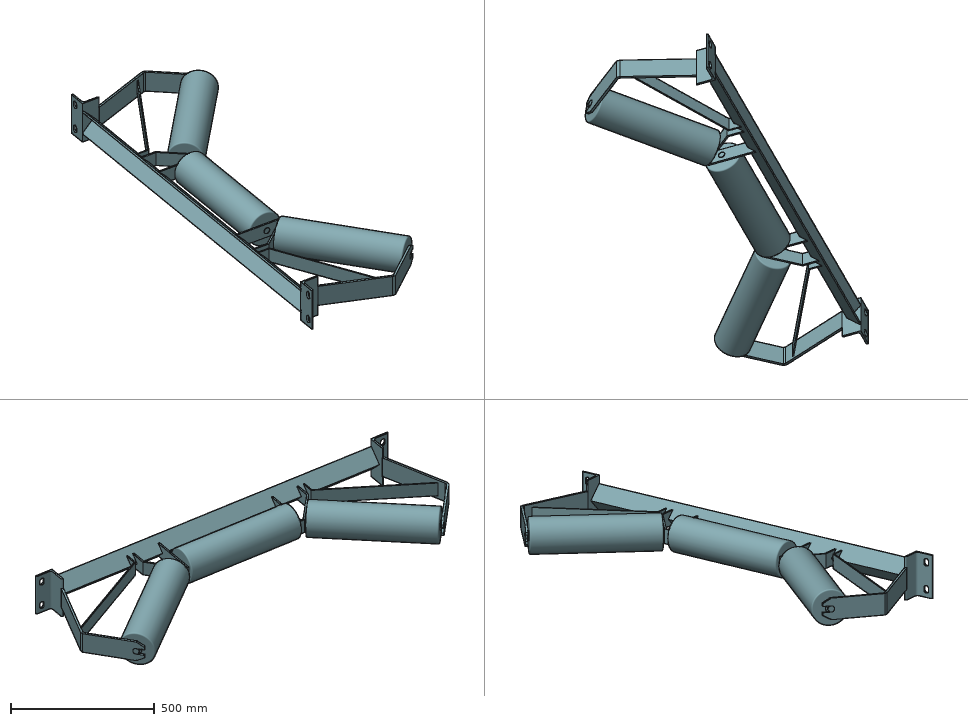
import cadquery as cq
import math


roller_radius = 66.5
roller_length = 466.0
rim_radius = 5.0
trough_angle = 40.0
middle_roller_y = 151.0
side_roller_end_x = -645.0
overall_height = 519.0

shaft_diameter = 23.0
hub_diameter = 36.0
support_gap = 5.0
shaft_tip = 2.0

angle_leg = 70.0
angle_thickness = 7.0
angle_root_radius = 9.0
angle_toe_radius = 4.5

beam_half_length = 678.0

foot_width = 160.0
slot_width = 19.0
slot_length = 28.0
slot_spacing = 100.0
slot_x = -725.0

arm_thickness = 8.5
arm_width = 80.0
arm_outer_x = -780.0
arm_tip_rise = 30.4
arm_tip_chamfer_length = 30.0
arm_tip_chamfer_width = 17.0
knee_height = 11.0
bracket_thickness = 6.0
bracket_width = 55.0
bracket_leg_x = -350.0
bracket_top_y = 203.0
strut_thickness = 5.0
strut_foot_x = -375.0
strut_bend_y = 72.0
strut_top_y = 290.0
weld_overlap = 2.0

tilt = math.radians(trough_angle)
along = (math.cos(tilt), -math.sin(tilt))
across = (math.sin(tilt), math.cos(tilt))
bracket_reach = support_gap + bracket_thickness + shaft_tip
toe_x = angle_leg - angle_toe_radius
toe_y = angle_thickness - angle_toe_radius
beam_apex_y = (toe_x + toe_y) / math.sqrt(2) + angle_toe_radius
seat_y = beam_apex_y - bracket_width / 2
rim_drop = rim_radius * (1 - math.sin(tilt)) + (roller_radius - rim_radius) * math.cos(tilt)
roller_end = (side_roller_end_x, overall_height - rim_drop)


def tilted_point(distance, rise):
    """Point at a distance along the left roller axis and a rise square to it."""
    return (
        roller_end[0] + distance * along[0] + rise * across[0],
        roller_end[1] + distance * along[1] + rise * across[1],
    )


def mirrored(solid):
    """The solid's twin on the other side of X = 0."""
    return solid.mirror("YZ")


def bent_bar(path, thickness, width):
    """Flat bar with mitred bends; the path runs along the middle of its thickness."""
    normals = []
    for (x0, y0), (x1, y1) in zip(path, path[1:]):
        run = math.hypot(x1 - x0, y1 - y0)
        normals.append(((y0 - y1) / run, (x1 - x0) / run))
    starts = [normals[0]] + normals
    ends = normals + [normals[-1]]
    left = []
    right = []
    for (x, y), (ax, ay), (bx, by) in zip(path, starts, ends):
        reach = thickness / 2 / (1 + ax * bx + ay * by)
        left.append((x + reach * (ax + bx), y + reach * (ay + by)))
        right.append((x - reach * (ax + bx), y - reach * (ay + by)))
    outline = left + right[::-1]
    return cq.Workplane("XY").polyline(outline).close().extrude(width / 2, both=True)


def roller_shell():
    shell = cq.Workplane("YZ").circle(roller_radius).extrude(roller_length)
    shell = shell.edges().fillet(rim_radius)
    bore = cq.Workplane("YZ").circle(shaft_diameter / 2).extrude(roller_length)
    return shell.cut(bore)


def shaft(start_reach):
    """Shaft with a hub at each shell end; the far end always sits in a saddle bracket."""
    core = (
        cq.Workplane("YZ", origin=(-start_reach, 0, 0))
        .circle(shaft_diameter / 2)
        .extrude(start_reach + roller_length + bracket_reach)
    )
    start_hub = cq.Workplane("YZ").circle(hub_diameter / 2).extrude(-support_gap)
    end_hub = start_hub.translate((roller_length + support_gap, 0, 0))
    return core.union(start_hub).union(end_hub)


def on_left_axis(solid):
    turned = solid.rotate((0, 0, 0), (0, 0, 1), -trough_angle)
    return turned.translate((roller_end[0], roller_end[1], 0))


def on_middle_axis(solid):
    return solid.translate((-roller_length / 2, middle_roller_y, 0))


def shaft_slot(depth):
    """Round-bottomed slot for a shaft along +X, open towards +Y."""
    start = -depth / 2
    seat = cq.Workplane("YZ", origin=(start, 0, 0)).circle(shaft_diameter / 2).extrude(depth)
    mouth = cq.Workplane("XY").box(depth, 2 * arm_tip_rise, shaft_diameter)
    return seat.union(mouth.translate((0, arm_tip_rise, 0)))


def rolled_angle(length):
    angle = (
        cq.Workplane("XY")
        .polyline([
            (0, 0),
            (angle_leg, 0),
            (angle_leg, angle_thickness),
            (angle_thickness, angle_thickness),
            (angle_thickness, angle_leg),
            (0, angle_leg),
        ])
        .close()
        .extrude(length / 2, both=True)
    )
    roundings = [
        (angle_thickness, angle_thickness, angle_root_radius),
        (angle_leg, angle_thickness, angle_toe_radius),
        (angle_thickness, angle_leg, angle_toe_radius),
    ]
    for x, y, radius in roundings:
        corner = cq.selectors.NearestToPointSelector((x, y, 0))
        angle = angle.edges("|Z").edges(corner).fillet(radius)
    return angle


def beam_outer_block():
    """Solid wedge under the beam's two outer faces, cut off below Y = 0."""
    return (
        cq.Workplane("YZ", origin=(-beam_half_length, 0, 0))
        .polyline([(beam_apex_y, 0), (0, beam_apex_y), (0, -beam_apex_y)])
        .close()
        .extrude(2 * beam_half_length)
    )


def angle_beam():
    angle = rolled_angle(2 * beam_half_length).rotate((0, 0, 0), (0, 1, 0), 90)
    return angle.rotate((0, 0, 0), (1, 0, 0), -135).translate((0, beam_apex_y, 0))


def saddle_bracket():
    """Bent bar that carries the inner end of a side shaft and one end of the middle shaft."""
    plate_x = -roller_length / 2 - support_gap - bracket_thickness / 2
    slope_x, slope_y = tilted_point(roller_length + support_gap + bracket_thickness / 2, 0)
    rise_per_x = across[1] / across[0]
    bar_top_y = bracket_top_y - bracket_thickness / 2
    bar = bent_bar(
        [
            (bracket_leg_x, seat_y),
            (bracket_leg_x, slope_y + (bracket_leg_x - slope_x) * rise_per_x),
            (slope_x + (bar_top_y - slope_y) / rise_per_x, bar_top_y),
            (plate_x, bar_top_y),
            (plate_x, seat_y),
        ],
        bracket_thickness,
        bracket_width,
    )
    return bar.cut(beam_outer_block())


def foot():
    angle = rolled_angle(foot_width).mirror("YZ").translate((-beam_half_length, 0, 0))
    slots = (
        cq.Workplane("XZ", origin=(slot_x, 0, 0))
        .pushPoints([(0, -slot_spacing / 2), (0, slot_spacing / 2)])
        .slot2D(slot_length, slot_width, 90)
        .extrude(-angle_thickness)
    )
    return angle.cut(slots)


def arm_path():
    face_distance = -support_gap - arm_thickness / 2
    tip = tilted_point(face_distance, arm_tip_rise)
    knee_x = arm_outer_x + arm_thickness / 2
    knee_top_y = tip[1] - (tip[0] - knee_x) * across[1] / across[0]
    base = (-beam_half_length - angle_thickness / 2, angle_leg - weld_overlap)
    return [tip, (knee_x, knee_top_y), (knee_x, knee_top_y - knee_height), base]


def arm():
    bar = bent_bar(arm_path(), arm_thickness, arm_width)
    for side in (1, -1):
        corner = (
            cq.Workplane("YZ", origin=(-2 * arm_thickness - support_gap, 0, 0))
            .polyline([
                (arm_tip_rise, side * arm_width / 2),
                (arm_tip_rise, side * (arm_width / 2 - arm_tip_chamfer_width)),
                (arm_tip_rise - arm_tip_chamfer_length, side * arm_width / 2),
            ])
            .close()
            .extrude(3 * arm_thickness)
        )
        bar = bar.cut(on_left_axis(corner))
    slot = shaft_slot(2 * arm_thickness).translate((-support_gap - arm_thickness / 2, 0, 0))
    return bar.cut(on_left_axis(slot))


def strut():
    knee_bottom, base = arm_path()[2:]
    part_way = (knee_bottom[1] - strut_top_y) / (knee_bottom[1] - base[1])
    top = (knee_bottom[0] + part_way * (base[0] - knee_bottom[0]), strut_top_y)
    path = [(strut_foot_x, seat_y), (strut_foot_x, strut_bend_y), top]
    return bent_bar(path, strut_thickness, bracket_width).cut(beam_outer_block())


left_shell = on_left_axis(roller_shell())
middle_shell = on_middle_axis(roller_shell())
left_shaft = on_left_axis(shaft(support_gap + arm_thickness))
middle_shaft = on_middle_axis(shaft(bracket_reach))

left_bracket = saddle_bracket().cut(left_shaft).cut(middle_shaft)
beam = angle_beam().union(left_bracket).union(mirrored(left_bracket))
left_stand = foot().union(arm()).union(strut())

shells = [left_shell, middle_shell, mirrored(left_shell)]
shafts = [left_shaft, middle_shaft, mirrored(left_shaft)]
stands = [left_stand, mirrored(left_stand)]

result = cq.Compound.makeCompound([body.val() for body in [beam] + stands + shells + shafts])